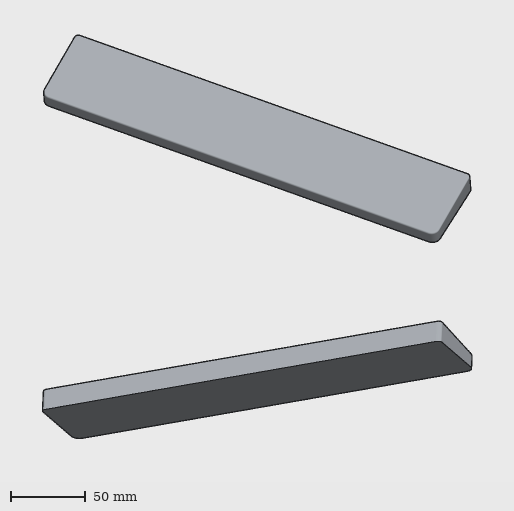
import cadquery as cq
import math

width = 292.5
depth = 56.8
height = 15.8
tilt = 6.0
front_corner_radius = 5.9
rear_corner_radius = 3.0
edge_radius = 1.5

sin_tilt = math.sin(math.radians(tilt))
cos_tilt = math.cos(math.radians(tilt))

rear_y = depth / 2
rear_wall = (height - edge_radius + edge_radius * sin_tilt) / cos_tilt
thickness = rear_wall + edge_radius
rear_center_y = rear_y - rear_wall * sin_tilt - edge_radius * cos_tilt
front_center_y = -depth / 2 + edge_radius
length = (rear_center_y - front_center_y) / cos_tilt + 2 * edge_radius
base_margin = 11.7


def make_plate():
    """Untilted plate with its rear edge along the X axis and its top face at the thickness."""
    plate = cq.Workplane("XY").box(width, length, thickness + base_margin, centered=(True, False, False))
    plate = plate.translate((0, -length, -base_margin))
    plate = plate.edges("|Z and <Y").fillet(front_corner_radius)
    plate = plate.edges("|Z and >Y").fillet(rear_corner_radius)
    return plate.faces(">Z").edges().fillet(edge_radius)


def make_space_above_base():
    """Block covering everything above the level base plane."""
    return cq.Workplane("XY").box(2 * width, 2 * depth, 2 * height, centered=(True, True, False))


tilted_plate = make_plate().rotate((0, 0, 0), (1, 0, 0), tilt).translate((0, rear_y, 0))
result = tilted_plate.intersect(make_space_above_base())